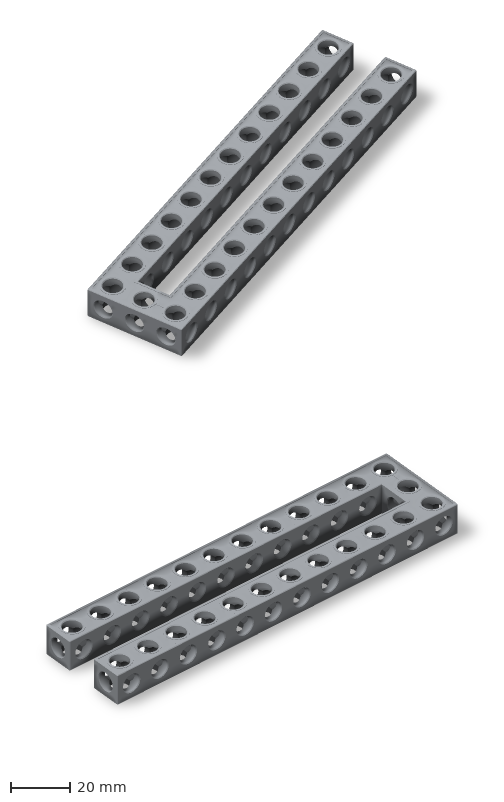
import cadquery as cq

length = 150.0
rows = 12
columns = 3
pitch = length / rows
width = columns * pitch
height = pitch

hole_diameter = 7.0
collar_diameter = 9.2
rim_width = (collar_diameter - hole_diameter) / 2
recess_depth = 0.2
mouth_chamfer = 0.3
edge_chamfer = 0.22
rib_width = 0.5

middle_column = 1
arm_columns = (0, 2)
slot_width = pitch

left_face = -width / 2
front_face = -length / 2
slot_end = front_face + pitch
mid_height = height / 2


def column_x(column):
    """X of the middle of a column of cells."""
    return left_face + (column + 0.5) * pitch


def row_y(row):
    """Y of the middle of a row of cells."""
    return front_face + (row + 0.5) * pitch


def outer_block(inset, thickness):
    """Rectangular block standing on Z = 0, smaller than the body by the inset on each side."""
    return cq.Workplane("XY").box(
        width - 2 * inset, length - 2 * inset, thickness, centered=(True, True, False)
    )


def slot_block(margin, thickness):
    """Block standing on Z = 0 that fills the slot and overlaps its walls by the margin."""
    block = cq.Workplane("XY").box(
        slot_width + 2 * margin, length, thickness, centered=(True, False, False)
    )
    return block.translate((0, slot_end - margin, 0))


def hole_cutter(span):
    """Cylinder along +Z from the origin, flared at both ends to chamfer the hole mouths."""
    radius = hole_diameter / 2
    mouth_radius = radius + mouth_chamfer
    return (
        cq.Workplane("XZ")
        .lineTo(mouth_radius, 0)
        .lineTo(radius, mouth_chamfer)
        .lineTo(radius, span - mouth_chamfer)
        .lineTo(mouth_radius, span)
        .lineTo(0, span)
        .close()
        .revolve(360, (0, 0, 0), (0, 1, 0))
    )


def copies(cutter, places):
    """Copies of a cutter, one at each place."""
    return [cutter.translate(place).val() for place in places]


body = outer_block(0, height).cut(slot_block(0, height))
body = body.edges("|Z and (<Y or >Y)").chamfer(edge_chamfer)
body = body.faces("<Z or >Z").edges().chamfer(edge_chamfer)

cell_centres = [(column_x(column), row_y(row)) for column in arm_columns for row in range(rows)]
cell_centres.append((column_x(middle_column), row_y(0)))

recess = outer_block(rim_width, recess_depth).cut(slot_block(rim_width, recess_depth))
collars = cq.Workplane("XY").pushPoints(cell_centres).circle(collar_diameter / 2).extrude(recess_depth)
rib = (
    cq.Workplane("XY")
    .box(pitch, rib_width, recess_depth, centered=(False, True, False))
    .translate((column_x(middle_column), row_y(0), 0))
)
recess = recess.cut(collars).cut(rib)
body = body.cut(recess.translate((0, 0, height - recess_depth)))

upright_holes = copies(hole_cutter(height), [(x, y, 0) for x, y in cell_centres])

wide_cutter = hole_cutter(width).rotate((0, 0, 0), (0, 1, 0), 90)
wide_holes = copies(wide_cutter, [(left_face, row_y(0), mid_height)])
arm_cutter = hole_cutter(pitch).rotate((0, 0, 0), (0, 1, 0), 90)
arm_holes = copies(
    arm_cutter,
    [
        (column_x(column) - pitch / 2, row_y(row), mid_height)
        for column in arm_columns
        for row in range(1, rows)
    ],
)

long_cutter = hole_cutter(length).rotate((0, 0, 0), (1, 0, 0), -90)
long_holes = copies(long_cutter, [(column_x(column), front_face, mid_height) for column in arm_columns])
short_cutter = hole_cutter(pitch).rotate((0, 0, 0), (1, 0, 0), -90)
short_holes = copies(short_cutter, [(column_x(middle_column), front_face, mid_height)])

hole_cutters = upright_holes + wide_holes + arm_holes + long_holes + short_holes
result = cq.Workplane(body.val().cut(*hole_cutters))